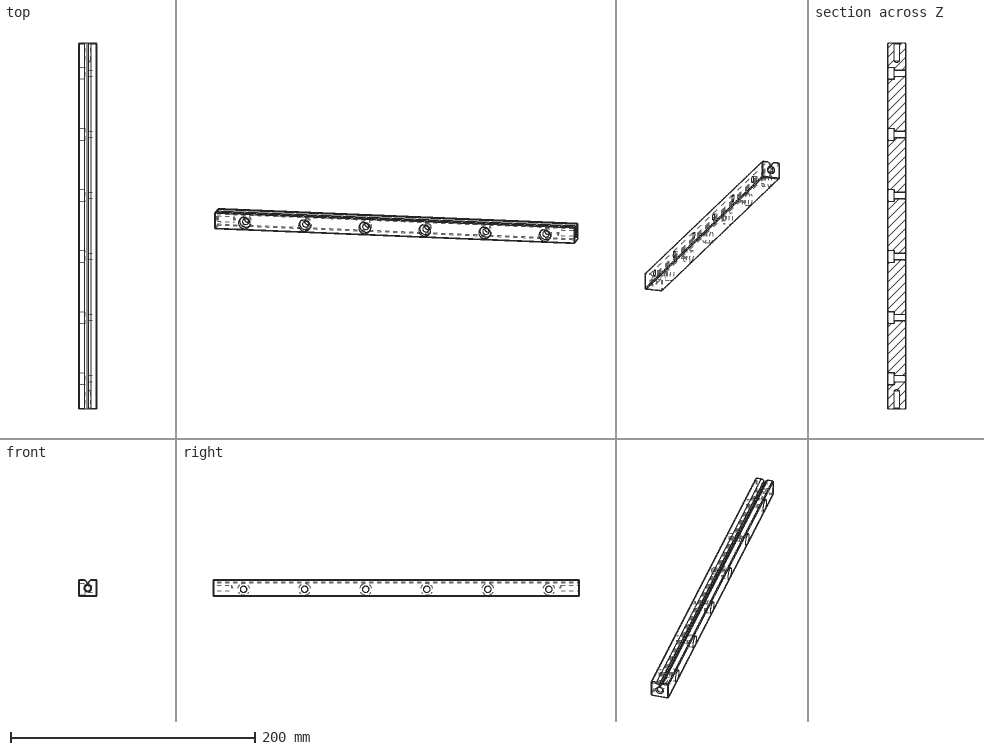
import cadquery as cq
import math

length = 300.0
width = 15.0
height = 14.0
chamfer_size = 0.75

track_width = 5.7
relief_width = 1.5
relief_depth = 3.0

mount_count = 6
mount_pitch = length / mount_count
mount_height = 6.0
mount_diameter = 5.0
counterbore_diameter = 9.5
counterbore_depth = 5.5

end_hole_height = 7.0
end_hole_diameter = 4.5
end_hole_depth = 15.0
end_countersink_diameter = 6.3
drill_point_angle = 118.0


def make_body():
    """Bar chamfered along its long edges and around both end faces."""
    bar = cq.Workplane("XY").box(width, length, height, centered=(True, True, False))
    bar = bar.edges("|Y").chamfer(chamfer_size)
    return bar.faces("<Y or >Y").chamfer(chamfer_size)


def make_track():
    """V groove cutter with 45 degree flanks, ending in a narrow relief slot."""
    half_track = track_width / 2
    half_relief = relief_width / 2
    flank_depth = half_track - half_relief
    return (
        cq.Workplane("XZ")
        .moveTo(-half_track, height)
        .lineTo(-half_relief, height - flank_depth)
        .lineTo(-half_relief, height - relief_depth)
        .lineTo(half_relief, height - relief_depth)
        .lineTo(half_relief, height - flank_depth)
        .lineTo(half_track, height)
        .close()
        .extrude(length / 2, both=True)
    )


def make_mount_hole(y):
    """Through hole along X, counterbored from the -X side."""
    side = cq.Workplane("YZ", origin=(-width / 2, y, mount_height))
    hole = side.circle(mount_diameter / 2).extrude(width)
    counterbore = side.circle(counterbore_diameter / 2).extrude(counterbore_depth)
    return hole.union(counterbore)


def make_end_hole():
    """Countersunk blind hole entering the -Y end, revolved about its own axis."""
    radius = end_hole_diameter / 2
    mouth_radius = end_countersink_diameter / 2
    countersink_depth = mouth_radius - radius
    point_depth = radius / math.tan(math.radians(drill_point_angle / 2))
    return (
        cq.Workplane("XY", origin=(0, -length / 2, end_hole_height))
        .lineTo(mouth_radius, 0)
        .lineTo(radius, countersink_depth)
        .lineTo(radius, end_hole_depth)
        .lineTo(0, end_hole_depth + point_depth)
        .close()
        .revolve(360, (0, 0, 0), (0, 1, 0))
    )


result = make_body().cut(make_track())

for index in range(mount_count):
    y_position = (index - (mount_count - 1) / 2) * mount_pitch
    result = result.cut(make_mount_hole(y_position))

end_hole = make_end_hole()
result = result.cut(end_hole).cut(end_hole.mirror("XZ"))